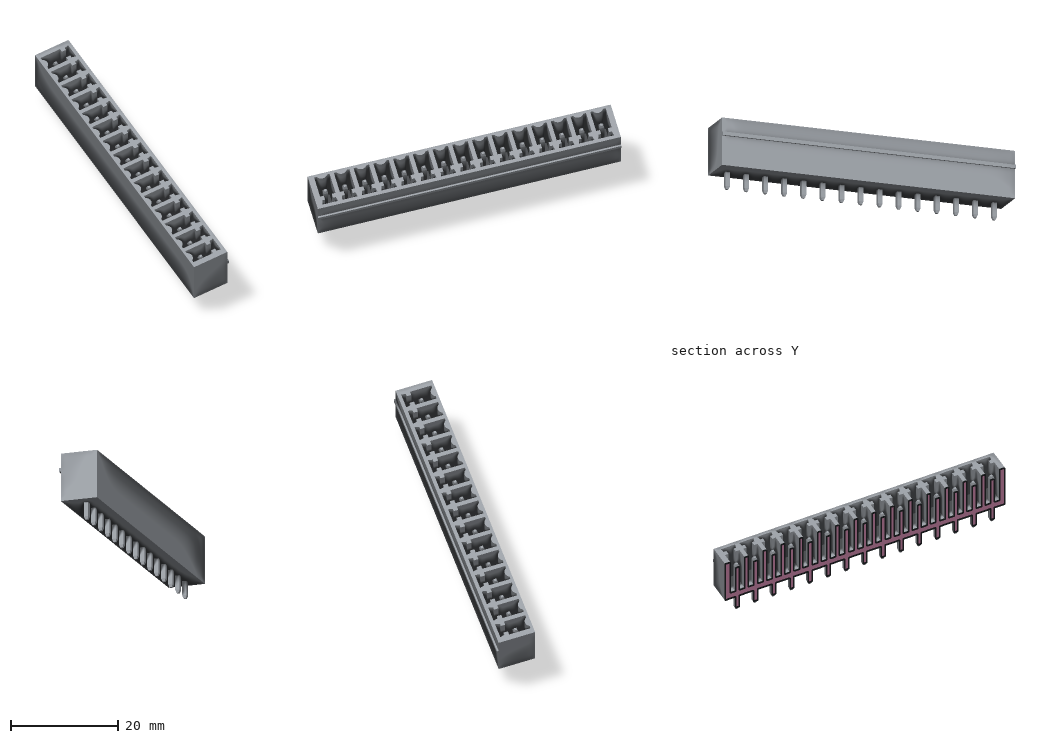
import cadquery as cq

HOUSING_LENGTH = 58.55
HOUSING_DEPTH = 7.2
HOUSING_HEIGHT = 9.25

RIDGE_PROJECTION = 0.35
RIDGE_HEIGHT = 0.7
RIDGE_TOP_DROP = 2.8

CONTACT_COUNT = 15
ROW_LENGTH = 53.35
CONTACT_PITCH = ROW_LENGTH / (CONTACT_COUNT - 1)
CONTACT_Y = 3.0

SOCKET_WIDTH = 3.0
NECK_WIDTH = 1.5
KEY_WIDTH = 2.6
FRONT_WALL = 0.5
NECK_FRONT_Y = 4.75
NECK_BACK_Y = 5.6
SOCKET_BACK_Y = 6.5
FLOOR_THICKNESS = 1.5

RIB_CHORD = 2.0
RIB_RISE = 0.6

PIN_WIDTH = 0.9
PIN_TIP_WIDTH = 0.45
PIN_TIP_LENGTH = 0.6
PIN_TAIL_LENGTH = 3.35
PIN_TOP_DROP = 1.3


def make_housing():
    body = cq.Workplane("XY").box(
        HOUSING_LENGTH, HOUSING_DEPTH, HOUSING_HEIGHT, centered=(True, False, False)
    )
    ridge_bottom = HOUSING_HEIGHT - RIDGE_TOP_DROP - RIDGE_HEIGHT
    ridge = (
        cq.Workplane("XY")
        .box(HOUSING_LENGTH, RIDGE_PROJECTION, RIDGE_HEIGHT, centered=(True, False, False))
        .translate((0, HOUSING_DEPTH, ridge_bottom))
    )
    return body.union(ridge)


def make_socket():
    """Open-topped socket volume, centred on X = 0."""
    half_socket = SOCKET_WIDTH / 2
    half_neck = NECK_WIDTH / 2
    half_key = KEY_WIDTH / 2
    half_rib = RIB_CHORD / 2
    return (
        cq.Workplane("XY", origin=(0, 0, FLOOR_THICKNESS))
        .moveTo(-half_socket, FRONT_WALL)
        .lineTo(-half_rib, FRONT_WALL)
        .threePointArc((0, FRONT_WALL + RIB_RISE), (half_rib, FRONT_WALL))
        .lineTo(half_socket, FRONT_WALL)
        .lineTo(half_socket, NECK_FRONT_Y)
        .lineTo(half_neck, NECK_FRONT_Y)
        .lineTo(half_neck, NECK_BACK_Y)
        .lineTo(half_key, NECK_BACK_Y)
        .lineTo(half_socket, SOCKET_BACK_Y)
        .lineTo(-half_socket, SOCKET_BACK_Y)
        .lineTo(-half_key, NECK_BACK_Y)
        .lineTo(-half_neck, NECK_BACK_Y)
        .lineTo(-half_neck, NECK_FRONT_Y)
        .lineTo(-half_socket, NECK_FRONT_Y)
        .close()
        .extrude(HOUSING_HEIGHT - FLOOR_THICKNESS)
    )


def make_pin():
    """Square pin through the floor, tapered at both ends, centred on X = 0."""
    shank_bottom = PIN_TIP_LENGTH - PIN_TAIL_LENGTH
    shank_top = HOUSING_HEIGHT - PIN_TOP_DROP - PIN_TIP_LENGTH
    shank = (
        cq.Workplane("XY", origin=(0, CONTACT_Y, shank_bottom))
        .rect(PIN_WIDTH, PIN_WIDTH)
        .extrude(shank_top - shank_bottom)
    )
    for base_z, tip_z in ((shank_top, PIN_TIP_LENGTH), (shank_bottom, -PIN_TIP_LENGTH)):
        tip = (
            cq.Workplane("XY", origin=(0, CONTACT_Y, base_z))
            .rect(PIN_WIDTH, PIN_WIDTH)
            .workplane(offset=tip_z)
            .rect(PIN_TIP_WIDTH, PIN_TIP_WIDTH)
            .loft(ruled=True)
        )
        shank = shank.union(tip)
    return shank


result = make_housing()
socket = make_socket()
pin = make_pin()
for index in range(CONTACT_COUNT):
    contact_x = index * CONTACT_PITCH - ROW_LENGTH / 2
    result = result.cut(socket.translate((contact_x, 0, 0)))
    result = result.union(pin.translate((contact_x, 0, 0)))